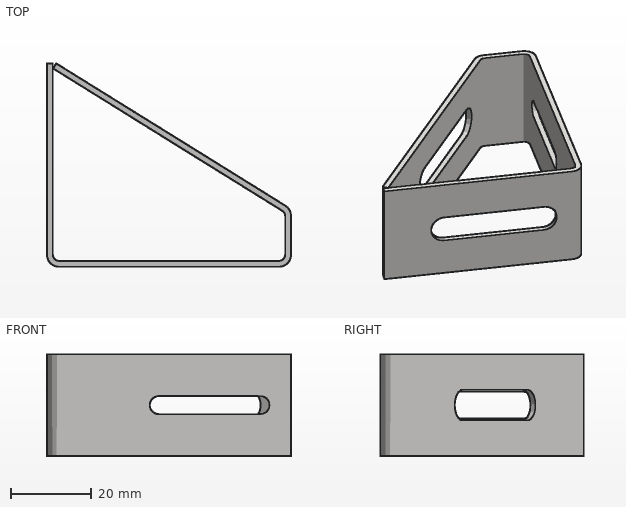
import cadquery as cq
import math

LENGTH = 60.96
DEPTH = 50.8
HEIGHT = 25.4
THICKNESS = 1.524
INNER_BEND = 1.524
OUTER_BEND = INNER_BEND + THICKNESS

SLOPE_ANGLE = 31.84
SHORT_WALL_END = 12.7
END_GAP = 0.01

SLOT_TRAVEL = 25.4
FRONT_SLOT_WIDTH = 4.445
FRONT_SLOT_X = 40.64
LEFT_SLOT_WIDTH = 6.604
LEFT_SLOT_Y = 22.86
SLOPE_SLOT_WIDTH = 7.62
SLOPE_SLOT_LENGTH = 38.1
SLOPE_SLOT_START = 6.35

slope = math.radians(SLOPE_ANGLE)
along = cq.Vector(-math.cos(slope), math.sin(slope), 0)
outward = cq.Vector(math.sin(slope), math.cos(slope), 0)

bend_centre = cq.Vector(LENGTH - OUTER_BEND, SHORT_WALL_END, 0)
slope_inner_start = bend_centre + outward * INNER_BEND
slope_outer_start = bend_centre + outward * OUTER_BEND
slope_length = (slope_inner_start.x - THICKNESS - END_GAP) / math.cos(slope)


def arc_middle(radius):
    """Point halfway round the upper bend, on the arc of the given radius."""
    half_way = (math.pi / 2 - slope) / 2
    return bend_centre + cq.Vector(math.cos(half_way), math.sin(half_way), 0) * radius


def bent_strip():
    """Cross-section of the bent strip extruded to the full height."""

    def xy(point):
        return point.x, point.y

    inner_x = LENGTH - THICKNESS
    strip = (
        cq.Workplane("XY")
        .moveTo(0, DEPTH)
        .lineTo(0, 0)
        .lineTo(LENGTH, 0)
        .lineTo(LENGTH, SHORT_WALL_END)
        .threePointArc(xy(arc_middle(OUTER_BEND)), xy(slope_outer_start))
        .lineTo(*xy(slope_outer_start + along * slope_length))
        .lineTo(*xy(slope_inner_start + along * slope_length))
        .lineTo(*xy(slope_inner_start))
        .threePointArc(xy(arc_middle(INNER_BEND)), (inner_x, SHORT_WALL_END))
        .lineTo(inner_x, THICKNESS)
        .lineTo(THICKNESS, THICKNESS)
        .lineTo(THICKNESS, DEPTH)
        .close()
        .extrude(HEIGHT)
    )
    for corner_x, inward in ((0, 1), (LENGTH, -1)):
        outer_corner = (corner_x, 0, HEIGHT / 2)
        inner_corner = (corner_x + inward * THICKNESS, THICKNESS, HEIGHT / 2)
        strip = strip.edges(cq.NearestToPointSelector(outer_corner)).fillet(OUTER_BEND)
        strip = strip.edges(cq.NearestToPointSelector(inner_corner)).fillet(INNER_BEND)
    return strip


def slot_cutter(centre, direction, normal, overall_length, width):
    """Round-ended slot through one wall; centre lies mid-thickness in that wall."""
    plane = cq.Plane(origin=centre.toTuple(), xDir=direction.toTuple(), normal=normal.toTuple())
    return cq.Workplane(plane).slot2D(overall_length, width).extrude(THICKNESS, both=True)


mid_wall = THICKNESS / 2
mid_height = cq.Vector(0, 0, HEIGHT / 2)
x_axis = cq.Vector(1, 0, 0)
y_axis = cq.Vector(0, 1, 0)

front_slot = slot_cutter(
    cq.Vector(FRONT_SLOT_X, mid_wall, 0) + mid_height,
    x_axis,
    y_axis,
    SLOT_TRAVEL + FRONT_SLOT_WIDTH,
    FRONT_SLOT_WIDTH,
)
left_slot = slot_cutter(
    cq.Vector(mid_wall, LEFT_SLOT_Y, 0) + mid_height,
    y_axis,
    x_axis,
    SLOT_TRAVEL + LEFT_SLOT_WIDTH,
    LEFT_SLOT_WIDTH,
)
slope_slot_middle = SLOPE_SLOT_START + SLOPE_SLOT_LENGTH / 2
slope_slot = slot_cutter(
    slope_inner_start + along * slope_slot_middle + outward * mid_wall + mid_height,
    along,
    outward,
    SLOPE_SLOT_LENGTH,
    SLOPE_SLOT_WIDTH,
)

result = bent_strip().cut(front_slot).cut(left_slot).cut(slope_slot)